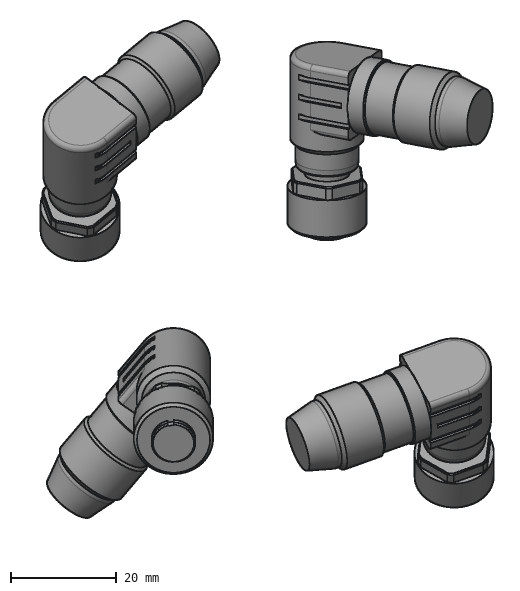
import cadquery as cq
import math


HOUSING_RADIUS = 7.0
HOUSING_EDGE_FILLET = 1.0
HOUSING_LOW_Z = -10.17
HOUSING_BACK_Y = 8.05

SLOT_WIDTH = 1.0
SLOT_PITCH = 4.0
SLOT_DEPTH = 0.5
SLOT_FRONT_Y = -2.8
SHORT_SLOT_BACK_Y = 6.55

SHOULDER_RADIUS = 6.02
SHOULDER_TAPER_Z = -14.32
TAPER_RADIUS = 5.9
TAPER_LOW_Z = -15.5
SHOULDER_CHAMFER = 0.35
NECK_RADIUS = 4.25

HEX_TOP_Z = -17.3
HEX_ACROSS_FLATS = 13.15
HEX_CORNER_RADIUS = 7.25
HEX_CHAMFER = 0.25
NUT_RADIUS = 7.5
NUT_TOP_Z = -19.87
NUT_LOW_Z = -27.9
NUT_CHAMFER = 0.6

INSERT_RADIUS = 4.15
INSERT_LOW_Z = -29.4
INSERT_CHAMFER_WIDTH = 0.28
INSERT_CHAMFER_HEIGHT = 0.45
KEYWAY_WIDTH = 1.15
KEYWAY_FLOOR = 3.75
KEYWAY_ANGLE = 225.0

COLLAR_RADIUS = 7.35
COLLAR_BACK_Y = 11.6
COLLAR_CHAMFER = 0.25
CLAMP_RADIUS = NUT_RADIUS
CLAMP_FRONT_Y = 17.48
CLAMP_BACK_Y = 26.35
CLAMP_FRONT_CHAMFER = CLAMP_RADIUS - HOUSING_RADIUS
EXIT_RADIUS = 6.75
CLAMP_BACK_CHAMFER = CLAMP_RADIUS - EXIT_RADIUS
EXIT_TAPER_Y = 27.15
EXIT_END_RADIUS = 5.35
EXIT_END_Y = 32.4


def revolved_about_z(profile):
    """Turn (radius, z) points about Z, closing both ends of the profile on the axis."""
    first_z = profile[0][1]
    last_z = profile[-1][1]
    outline = [(0, first_z), *profile, (0, last_z)]
    return cq.Workplane("XZ").polyline(outline).close().revolve(360, (0, 0), (0, 1))


def make_housing():
    height = HOUSING_RADIUS - HOUSING_LOW_Z
    post = (
        cq.Workplane("XY", origin=(0, 0, HOUSING_LOW_Z))
        .circle(HOUSING_RADIUS)
        .extrude(height)
        .faces(">Z")
        .edges()
        .fillet(HOUSING_EDGE_FILLET)
    )
    side = 2 * HOUSING_RADIUS
    arm = (
        cq.Workplane("XY")
        .box(side, HOUSING_BACK_Y, side, centered=(True, False, True))
        .edges("|Y")
        .fillet(HOUSING_EDGE_FILLET)
    )
    return post.union(arm)


def make_grip_slots():
    slots = cq.Workplane("XY")
    for level in (-1, 0, 1):
        back_y = SHORT_SLOT_BACK_Y if level == 0 else HOUSING_BACK_Y
        length = back_y - SLOT_FRONT_Y
        for side in (-1, 1):
            cutter = cq.Workplane("XY").box(2 * SLOT_DEPTH, length, SLOT_WIDTH)
            centre_y = (SLOT_FRONT_Y + back_y) / 2
            slots = slots.add(cutter.translate((side * HOUSING_RADIUS, centre_y, level * SLOT_PITCH)))
    return slots.combine()


def make_plug_body():
    cone_low_z = HOUSING_LOW_Z - (HOUSING_RADIUS - SHOULDER_RADIUS)
    shoulder_low_z = TAPER_LOW_Z - SHOULDER_CHAMFER
    return revolved_about_z([
        (HOUSING_RADIUS, HOUSING_LOW_Z),
        (SHOULDER_RADIUS, cone_low_z),
        (SHOULDER_RADIUS, SHOULDER_TAPER_Z),
        (TAPER_RADIUS, TAPER_LOW_Z),
        (TAPER_RADIUS - SHOULDER_CHAMFER, shoulder_low_z),
        (NECK_RADIUS, shoulder_low_z),
        (NECK_RADIUS, HEX_TOP_Z),
    ])


def make_coupling_nut():
    hex_height = HEX_TOP_Z - NUT_TOP_Z
    across_corners = HEX_ACROSS_FLATS / math.cos(math.radians(30))
    base = cq.Workplane("XY", origin=(0, 0, NUT_TOP_Z))
    hexagon = base.transformed(rotate=(0, 0, 30)).polygon(6, across_corners).extrude(hex_height)
    hexagon = hexagon.intersect(base.circle(HEX_CORNER_RADIUS).extrude(hex_height))
    hexagon = hexagon.faces(">Z").edges().chamfer(HEX_CHAMFER)
    barrel = (
        cq.Workplane("XY", origin=(0, 0, NUT_LOW_Z))
        .circle(NUT_RADIUS)
        .extrude(NUT_TOP_Z - NUT_LOW_Z)
        .faces("<Z")
        .edges()
        .chamfer(NUT_CHAMFER)
    )
    return barrel.union(hexagon)


def make_insert():
    insert = revolved_about_z([
        (INSERT_RADIUS, NUT_LOW_Z),
        (INSERT_RADIUS, INSERT_LOW_Z + INSERT_CHAMFER_HEIGHT),
        (INSERT_RADIUS - INSERT_CHAMFER_WIDTH, INSERT_LOW_Z),
    ])
    keyway = (
        cq.Workplane("XY")
        .box(INSERT_RADIUS, KEYWAY_WIDTH, NUT_LOW_Z - INSERT_LOW_Z, centered=(False, True, False))
        .translate((KEYWAY_FLOOR, 0, INSERT_LOW_Z))
        .rotate((0, 0, 0), (0, 0, 1), KEYWAY_ANGLE)
    )
    return insert.cut(keyway)


def make_cable_side():
    outline = [
        (0, HOUSING_BACK_Y),
        (COLLAR_RADIUS, HOUSING_BACK_Y),
        (COLLAR_RADIUS, COLLAR_BACK_Y - COLLAR_CHAMFER),
        (COLLAR_RADIUS - COLLAR_CHAMFER, COLLAR_BACK_Y),
        (HOUSING_RADIUS, COLLAR_BACK_Y),
        (HOUSING_RADIUS, CLAMP_FRONT_Y),
        (CLAMP_RADIUS, CLAMP_FRONT_Y + CLAMP_FRONT_CHAMFER),
        (CLAMP_RADIUS, CLAMP_BACK_Y - CLAMP_BACK_CHAMFER),
        (EXIT_RADIUS, CLAMP_BACK_Y),
        (EXIT_RADIUS, EXIT_TAPER_Y),
        (EXIT_END_RADIUS, EXIT_END_Y),
        (0, EXIT_END_Y),
    ]
    return cq.Workplane("XY").polyline(outline).close().revolve(360, (0, 0), (0, 1))


result = (
    make_housing()
    .cut(make_grip_slots())
    .union(make_cable_side())
    .union(make_plug_body())
    .union(make_coupling_nut())
    .union(make_insert())
)